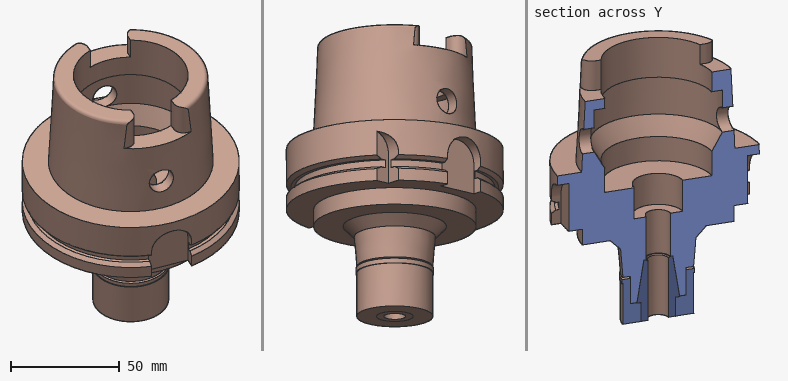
import cadquery as cq
import math


total_length = 130.0
shank_top = 50.0
nut_bottom = shank_top - total_length

shank_base_radius = 38.0
shank_top_radius = 35.5
shank_rim_round = 2.0

mouth_radius = 26.4
lip_bottom = 30.0
recess_radius = 31.6
recess_bottom = 9.2
recess_cone_slope = 60.0
cavity_floor = -12.0
coolant_socket_radius = 12.0
coolant_socket_depth = 15.6
through_bore_radius = 6.0

drive_slot_width = 20.0
drive_slot_corner_round = 5.0
drive_slot_shoulder = 32.1
left_slot_depth = 9.9
right_slot_depth = 14.8

access_hole_radius = 6.0
access_hole_height = 15.1

flange_diameter = 100.0
flange_radius = flange_diameter / 2
flange_bottom = -29.0
groove_floor_radius = 46.2
groove_bevel_radius = 47.8
groove_center = -20.0
groove_floor_width = 3.6
groove_mouth_width = 6.5

keyway_radius = 10.0
keyway_top = -5.0
keyway_floor = 44.2
notch_radius = 10.0
notch_inner_edge = 31.3
notch_floor = 32.0

collar_radius = 37.5
collar_bottom = -36.9
neck_flare_radius = 23.8
neck_top_radius = 18.7
neck_bottom_radius = 17.5
neck_bottom = -56.4
neck_top = collar_bottom - (neck_flare_radius - neck_top_radius)

nose_radius = 13.9
nose_bottom = -70.2

nut_gap = 0.8
nut_top = neck_bottom - nut_gap
nut_radius = 17.5
nut_rim_radius = 18.0
nut_rim_height = 2.2

collet_top = -49.4
collet_top_radius = 7.0
collet_seat_radius = 10.4
collet_nose_radius = 8.5
collet_bore_diameter = 10.0
collet_bore_radius = collet_bore_diameter / 2
collet_bore_chamfer = 0.5

BEYOND = 1.3


def turned(outline):
    """Revolve a closed outline of (radius, height) points about Z."""
    return cq.Workplane("XZ").polyline(outline).close().revolve(360, (0, 0), (0, 1))


def round_ended_slot(center_y, half_width, slot_top, floor_x):
    """A cutter with a round upper end, running in -X from floor_x and open below the flange."""
    arc_center = slot_top - half_width
    bottom = flange_bottom
    return (
        cq.Workplane("YZ")
        .workplane(offset=floor_x)
        .moveTo(center_y - half_width, bottom)
        .lineTo(center_y - half_width, arc_center)
        .threePointArc((center_y, slot_top), (center_y + half_width, arc_center))
        .lineTo(center_y + half_width, bottom)
        .close()
        .extrude(-flange_radius)
    )


def make_shank():
    """Tapered shank with a rounded rim, drive slots and access holes, still solid inside."""
    shank = turned([
        (0, 0),
        (shank_base_radius, 0),
        (shank_top_radius, shank_top),
        (0, shank_top),
    ])
    shank = shank.faces(">Z").edges().fillet(shank_rim_round)
    for side, depth in ((-1, left_slot_depth), (1, right_slot_depth)):
        shank = shank.cut(drive_slot(side, depth))
    access_holes = (
        cq.Workplane("YZ")
        .center(0, access_hole_height)
        .circle(access_hole_radius)
        .extrude(shank_base_radius, both=True)
    )
    return shank.cut(access_holes)


def drive_slot(side, depth):
    """Cutter for one drive slot, which opens through round corners to two flat shoulders."""
    half_width = drive_slot_width / 2
    corner = drive_slot_corner_round
    corner_start_x = drive_slot_shoulder - corner
    corner_end_y = half_width + corner
    arc_mid_x = corner_start_x + corner * math.sin(math.pi / 4)
    arc_mid_y = corner_end_y - corner * math.cos(math.pi / 4)
    outer = shank_base_radius + BEYOND
    return (
        cq.Workplane("XY")
        .workplane(offset=shank_top - depth)
        .moveTo(0, -half_width)
        .lineTo(side * corner_start_x, -half_width)
        .threePointArc((side * arc_mid_x, -arc_mid_y), (side * drive_slot_shoulder, -corner_end_y))
        .lineTo(side * drive_slot_shoulder, -outer)
        .lineTo(side * outer, -outer)
        .lineTo(side * outer, outer)
        .lineTo(side * drive_slot_shoulder, outer)
        .lineTo(side * drive_slot_shoulder, corner_end_y)
        .threePointArc((side * arc_mid_x, arc_mid_y), (side * corner_start_x, half_width))
        .lineTo(0, half_width)
        .close()
        .extrude(depth + BEYOND)
    )


def make_flange():
    """Flange with its gripper groove, two opposite keyways and one side notch."""
    floor_half = groove_floor_width / 2
    mouth_half = groove_mouth_width / 2
    flange = turned([
        (0, 0),
        (flange_radius, 0),
        (flange_radius, groove_center + mouth_half),
        (groove_bevel_radius, groove_center + floor_half),
        (groove_floor_radius, groove_center + floor_half),
        (groove_floor_radius, groove_center - floor_half),
        (groove_bevel_radius, groove_center - floor_half),
        (flange_radius, groove_center - mouth_half),
        (flange_radius, flange_bottom),
        (0, flange_bottom),
    ])
    keyway = round_ended_slot(0, keyway_radius, keyway_top, -keyway_floor)
    notch = round_ended_slot(notch_inner_edge + notch_radius, notch_radius, keyway_top, -notch_floor)
    return flange.cut(keyway).cut(keyway.mirror("YZ")).cut(notch)


def make_lower_holder():
    """Collar, flared neck and threaded nose below the flange."""
    return turned([
        (0, flange_bottom),
        (collar_radius, flange_bottom),
        (collar_radius, collar_bottom),
        (neck_flare_radius, collar_bottom),
        (neck_top_radius, neck_top),
        (neck_bottom_radius, neck_bottom),
        (nose_radius, neck_bottom),
        (nose_radius, nose_bottom),
        (0, nose_bottom),
    ])


def make_holder_cavity():
    """Everything bored out along the axis, down to the conical collet seat."""
    cone_drop = (recess_radius - mouth_radius) * math.tan(math.radians(recess_cone_slope))
    cone_bottom = recess_bottom - cone_drop
    socket_bottom = cavity_floor - coolant_socket_depth
    return turned([
        (0, shank_top),
        (mouth_radius, shank_top),
        (mouth_radius, lip_bottom),
        (recess_radius, lip_bottom),
        (recess_radius, recess_bottom),
        (mouth_radius, cone_bottom),
        (mouth_radius, cavity_floor),
        (coolant_socket_radius, cavity_floor),
        (coolant_socket_radius, socket_bottom),
        (through_bore_radius, socket_bottom),
        (through_bore_radius, collet_top),
        (collet_top_radius, collet_top),
        (collet_seat_radius, nose_bottom),
        (0, nose_bottom),
    ])


def make_holder():
    return make_shank().union(make_flange()).union(make_lower_holder()).cut(make_holder_cavity())


def make_nut():
    """Nut with a raised upper rim, around the holder nose and the collet nose."""
    rim_bottom = nut_top - nut_rim_height
    return turned([
        (nose_radius, nut_top),
        (nut_rim_radius, nut_top),
        (nut_rim_radius, rim_bottom),
        (nut_radius, rim_bottom),
        (nut_radius, nut_bottom),
        (collet_nose_radius, nut_bottom),
        (collet_nose_radius, nose_bottom),
        (nose_radius, nose_bottom),
    ])


def make_collet():
    """Conical collet with a straight nose and a bore chamfered at its upper end."""
    return turned([
        (collet_bore_radius + collet_bore_chamfer, collet_top),
        (collet_top_radius, collet_top),
        (collet_seat_radius, nose_bottom),
        (collet_nose_radius, nose_bottom),
        (collet_nose_radius, nut_bottom),
        (collet_bore_radius, nut_bottom),
        (collet_bore_radius, collet_top - collet_bore_chamfer),
    ])


holder = make_holder()
nut = make_nut()
collet = make_collet()

result = cq.Compound.makeCompound([holder.val(), nut.val(), collet.val()])